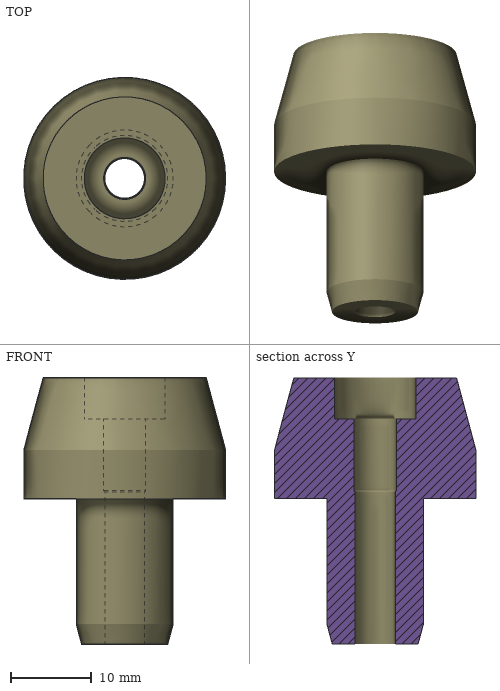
import cadquery as cq
import math

taper_angle = math.radians(15)
head_diameter = 25.0
head_band_height = 6.0
head_taper_height = 9.0
shank_diameter = 12.0
shank_length = 18.0
tip_taper_height = 2.5
counterbore_diameter = 10.0
counterbore_depth = 5.1
clearance_bore_diameter = 5.2
clearance_bore_depth = 8.9
lower_bore_diameter = 4.917

head_radius = head_diameter / 2
head_top_radius = head_radius - head_taper_height * math.tan(taper_angle)
shank_radius = shank_diameter / 2
tip_radius = shank_radius - tip_taper_height * math.tan(taper_angle)
band_top = shank_length + head_band_height
total_height = band_top + head_taper_height

counterbore_radius = counterbore_diameter / 2
clearance_bore_radius = clearance_bore_diameter / 2
lower_bore_radius = lower_bore_diameter / 2
counterbore_floor = total_height - counterbore_depth
clearance_bore_end = counterbore_floor - clearance_bore_depth
lower_bore_top = clearance_bore_end - (clearance_bore_radius - lower_bore_radius)


def revolve_about_z(profile):
    """Close a radius-height profile and turn it fully around the Z axis."""
    return profile.close().revolve(360, (0, 0, 0), (0, 1, 0))


def make_body():
    """Solid turned body: tapered tip, shank, head band and tapered head."""
    profile = (
        cq.Workplane("XZ")
        .lineTo(tip_radius, 0)
        .lineTo(shank_radius, tip_taper_height)
        .lineTo(shank_radius, shank_length)
        .lineTo(head_radius, shank_length)
        .lineTo(head_radius, band_top)
        .lineTo(head_top_radius, total_height)
        .lineTo(0, total_height)
    )
    return revolve_about_z(profile)


def make_bore():
    """Through bore: lower bore, 45 degree cone, clearance bore, counterbore."""
    profile = (
        cq.Workplane("XZ")
        .lineTo(lower_bore_radius, 0)
        .lineTo(lower_bore_radius, lower_bore_top)
        .lineTo(clearance_bore_radius, clearance_bore_end)
        .lineTo(clearance_bore_radius, counterbore_floor)
        .lineTo(counterbore_radius, counterbore_floor)
        .lineTo(counterbore_radius, total_height)
        .lineTo(0, total_height)
    )
    return revolve_about_z(profile)


result = make_body().cut(make_bore())